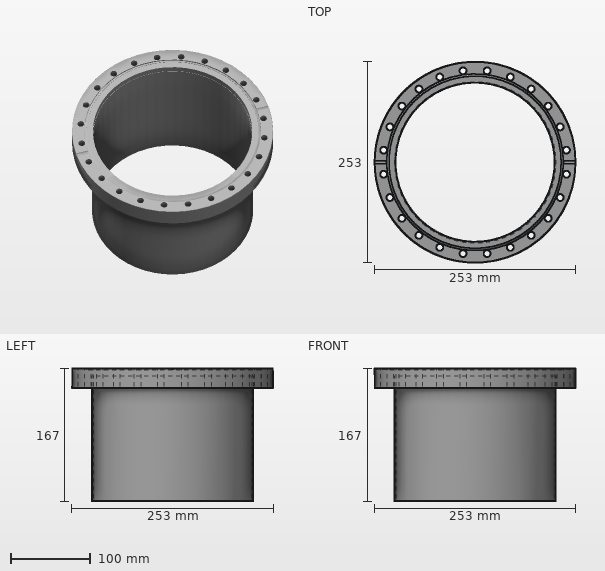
import cadquery as cq
import math

total_height = 167.0
flange_thickness = 25.0
flange_bottom = total_height - flange_thickness

tube_inner_radius = 199.8 / 2
tube_outer_radius = 203.0 / 2
tube_top_depth = 9.5
tube_top = total_height - tube_top_depth

knife_ring_radius = 222.1 / 2
knife_ring_bore_radius = 200.4 / 2
knife_edge_radius = 108.25
knife_edge_depth = 0.65
inner_face_depth = 1.2
knife_slope_deg = 20.0
knife_edge_z = total_height - knife_edge_depth
inner_face_z = total_height - inner_face_depth
cone_drop = (knife_ring_radius - knife_edge_radius) * math.tan(math.radians(knife_slope_deg))

bolt_ring_radius = 253.0 / 2
bolt_ring_bore_radius = knife_ring_radius
bolt_ring_chamfer = 0.4
bolt_count = 24
bolt_circle_radius = 231.8 / 2
bolt_hole_diameter = 8.4
first_bolt_angle = 360.0 / bolt_count / 2

groove_inner_radius = 223.0 / 2
groove_width = 4.0
groove_depth = 1.0
groove_radius = ((groove_width / 2) ** 2 + groove_depth ** 2) / (2 * groove_depth)
groove_axis_z = total_height - groove_depth + groove_radius


def flange_disc(radius):
    """Plain disc over the full flange thickness."""
    return cq.Workplane("XY").workplane(offset=flange_bottom).circle(radius).extrude(flange_thickness)


def make_tube():
    return (
        cq.Workplane("XY")
        .circle(tube_outer_radius)
        .circle(tube_inner_radius)
        .extrude(tube_top)
    )


def make_knife_ring():
    """Ring with a raised sealing edge above and a socket for the tube below."""
    profile = [
        (knife_ring_bore_radius, tube_top),
        (knife_ring_bore_radius, inner_face_z),
        (knife_edge_radius, inner_face_z),
        (knife_edge_radius, knife_edge_z),
        (knife_ring_radius, knife_edge_z - cone_drop),
        (knife_ring_radius, flange_bottom),
        (tube_outer_radius, flange_bottom),
        (tube_outer_radius, tube_top),
    ]
    return cq.Workplane("XZ").polyline(profile).close().revolve(360, (0, 0), (0, 1))


def make_bolt_holes():
    return (
        cq.Workplane("XY")
        .workplane(offset=flange_bottom)
        .polarArray(bolt_circle_radius, first_bolt_angle, 360, bolt_count)
        .circle(bolt_hole_diameter / 2)
        .extrude(flange_thickness)
    )


def make_leak_grooves():
    """Cutter along X that stops at the groove inner radius on each side."""
    full_length_groove = (
        cq.Workplane("YZ")
        .center(0, groove_axis_z)
        .circle(groove_radius)
        .extrude(bolt_ring_radius, both=True)
    )
    return full_length_groove.cut(flange_disc(groove_inner_radius))


def make_bolt_ring():
    """Outer ring with both rims chamfered, bolt holes and leak-check grooves."""
    disc = flange_disc(bolt_ring_radius).edges().chamfer(bolt_ring_chamfer)
    ring = disc.cut(flange_disc(bolt_ring_bore_radius))
    return ring.cut(make_bolt_holes()).cut(make_leak_grooves())


tube = make_tube()
knife_ring = make_knife_ring()
bolt_ring = make_bolt_ring()

result = cq.Compound.makeCompound([tube.val(), knife_ring.val(), bolt_ring.val()])